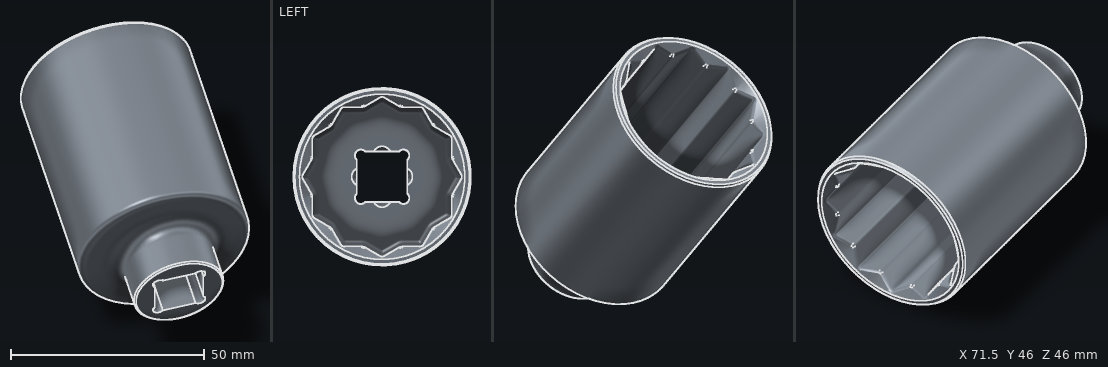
import cadquery as cq
import math

total_length = 71.5
body_diameter = 46.0
body_length = 58.05
shoulder_radius = 2.0
neck_diameter = 24.0
neck_root_radius = 4.0
rim_bevel_length = 0.7
rim_bevel_depth = 0.4
neck_end_chamfer = 0.4

nut_sides = 6
point_count = 2 * nut_sides
across_flats = 36.05
drive_depth = 16.0
cavity_depth = total_length - drive_depth
ridge_radius = 2.0
tip_radius = 1.0
floor_radius = 1.8
mouth_diameter = 42.75
countersink_depth = mouth_diameter / 2
lead_in_edge_radius = 1.4

square_side = 13.0
corner_relief_radius = 1.5
corner_relief_offset = 5.5
ball_radius = 2.35
ball_offset = 5.5


def axis_distance(edge):
    """Distance of an edge's center from the X axis."""
    center = edge.Center()
    return math.hypot(center.y, center.z)


def make_body():
    """Revolve the outer outline: body, rounded shoulder, root fillet and neck."""
    body_r = body_diameter / 2
    neck_r = neck_diameter / 2
    diagonal = math.sqrt(0.5)
    shoulder_center = (body_length - shoulder_radius, body_r - shoulder_radius)
    root_center = (body_length + neck_root_radius, neck_r + neck_root_radius)
    outline = (
        cq.Workplane("XY")
        .lineTo(0, body_r - rim_bevel_depth)
        .lineTo(rim_bevel_length, body_r)
        .lineTo(shoulder_center[0], body_r)
        .threePointArc(
            (
                shoulder_center[0] + shoulder_radius * diagonal,
                shoulder_center[1] + shoulder_radius * diagonal,
            ),
            (body_length, shoulder_center[1]),
        )
        .lineTo(body_length, root_center[1])
        .threePointArc(
            (
                root_center[0] - neck_root_radius * diagonal,
                root_center[1] - neck_root_radius * diagonal,
            ),
            (root_center[0], neck_r),
        )
        .lineTo(total_length - neck_end_chamfer, neck_r)
        .lineTo(total_length, neck_r - neck_end_chamfer)
        .lineTo(total_length, 0)
        .close()
    )
    return outline.revolve(360, (0, 0, 0), (1, 0, 0))


def make_cavity():
    """Twelve-point prism with rounded ridges, rounded tips and a rounded floor edge."""
    tip_r = across_flats / 2 / math.cos(math.pi / nut_sides)
    ridge_r = across_flats / 2 / math.cos(math.pi / point_count)
    middle_r = (tip_r + ridge_r) / 2
    corner_count = 2 * point_count
    corners = []
    for i in range(corner_count):
        radius = ridge_r if i % 2 else tip_r
        angle = i * 2 * math.pi / corner_count
        corners.append((radius * math.cos(angle), radius * math.sin(angle)))

    prism = cq.Workplane("YZ").polyline(corners).close().extrude(cavity_depth)
    prism = prism.edges("|X").filter(lambda edge: axis_distance(edge) < middle_r).fillet(ridge_radius)
    prism = prism.edges("|X").filter(lambda edge: axis_distance(edge) > middle_r).fillet(tip_radius)
    return prism.faces(">X").edges().fillet(floor_radius)


def make_countersink():
    """Lead-in cone at the mouth, tapering to a point on the axis."""
    outline = cq.Workplane("XY").lineTo(0, mouth_diameter / 2).lineTo(countersink_depth, 0).close()
    return outline.revolve(360, (0, 0, 0), (1, 0, 0))


def make_drive():
    """Square through the neck, with round corner reliefs and four ball recesses."""
    start = cq.Workplane("YZ", origin=(cavity_depth, 0, 0))
    drive = start.rect(square_side, square_side).extrude(drive_depth)
    relief_spacing = 2 * corner_relief_offset
    reliefs = (
        start.rect(relief_spacing, relief_spacing, forConstruction=True)
        .vertices()
        .circle(corner_relief_radius)
        .extrude(drive_depth)
    )
    balls = start.polarArray(ball_offset, 0, 360, 4).sphere(ball_radius)
    return drive.union(reliefs).union(balls)


def round_lead_in_edge(socket):
    """Round the scalloped edge where the lead-in cone meets the cavity walls."""
    scallops = socket.edges().filter(
        lambda edge: edge.geomType() not in ("LINE", "CIRCLE") and edge.Center().x < countersink_depth
    )
    return scallops.fillet(lead_in_edge_radius)


result = make_body().cut(make_cavity()).cut(make_countersink())
result = round_lead_in_edge(result)
result = result.cut(make_drive())